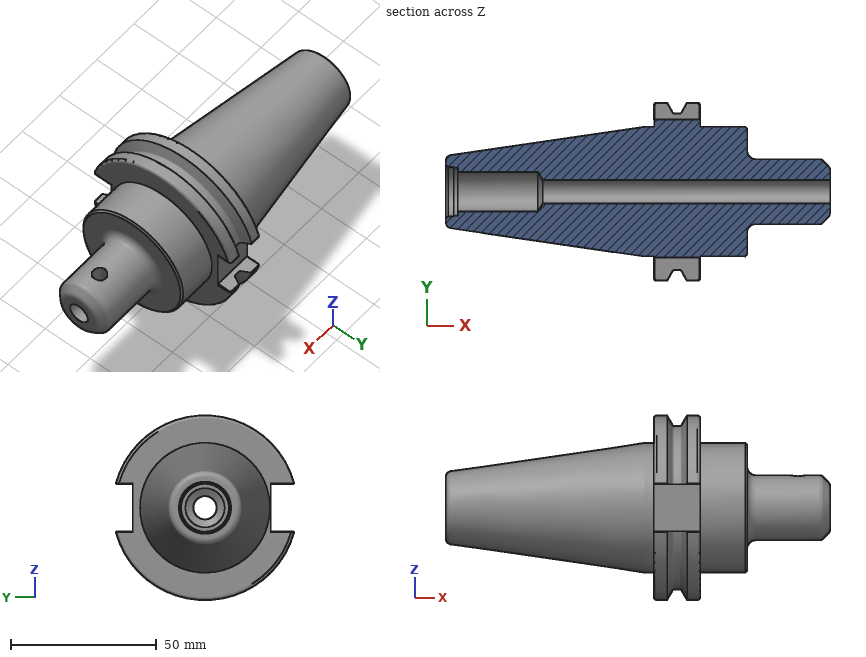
import cadquery as cq
import math

total_length = 131.8
taper_length = 68.1
flange_start = 71.3
flange_end = 87.2
body_end = 103.3

body_diameter = 44.5
body_radius = body_diameter / 2
taper_ratio = 7 / 24
taper_small_radius = body_radius - taper_length * taper_ratio / 2
taper_end_fillet = 2.1
body_chamfer = 0.7

flange_diameter = 63.4
flange_radius = flange_diameter / 2
flange_rim_fillet = 1.0
groove_centre = (flange_start + flange_end) / 2
groove_floor_radius = 28.0
groove_mouth_width = 6.9
groove_angle = 60.0
groove_wall_run = (flange_radius - groove_floor_radius) * math.tan(math.radians(groove_angle / 2))
groove_corner_fillet = 0.5

slot_width = 16.2
slot_edge_chamfer = 0.33
slot_floor_near = 22.5
slot_floor_far = 24.8

nose_diameter = 22.4
nose_radius = nose_diameter / 2
nose_root_fillet = 2.9
tip_chamfer = 3.0
tip_shoulder_fillet = 1.7
tip_face_fillet = 2.6

through_diameter = 7.9
mouth_diameter = 17.9
pilot_diameter = 16.9
mouth_chamfer_depth = 0.9
pilot_end = 2.8
relief_diameter = 16.3
relief_end = 4.2
thread_bore_diameter = 13.5
thread_bore_end = 31.6
drill_point_angle = 118.0

cross_hole_diameter = 5.4
cross_hole_x = 120.7

match_tolerance = 0.0001


def circles_at(solid, x, radius):
    """Circular edges of the solid around the X axis at the given place."""
    def matches(edge):
        if edge.geomType() != "CIRCLE":
            return False
        centre = edge.arcCenter()
        return abs(centre.x - x) < match_tolerance and abs(edge.radius() - radius) < match_tolerance
    return [edge for edge in solid.Edges() if matches(edge)]


def make_turned_body():
    mouth_half = groove_mouth_width / 2
    floor_half = mouth_half - groove_wall_run
    profile = [
        (0, 0),
        (0, taper_small_radius),
        (taper_length, body_radius),
        (flange_start, body_radius),
        (flange_start, flange_radius),
        (groove_centre - mouth_half, flange_radius),
        (groove_centre - floor_half, groove_floor_radius),
        (groove_centre + floor_half, groove_floor_radius),
        (groove_centre + mouth_half, flange_radius),
        (flange_end, flange_radius),
        (flange_end, body_radius),
        (body_end - body_chamfer, body_radius),
        (body_end, body_radius - body_chamfer),
        (body_end, nose_radius),
        (total_length - tip_chamfer, nose_radius),
        (total_length, nose_radius - tip_chamfer),
        (total_length, 0),
    ]
    solid = cq.Workplane("XY").polyline(profile).close().revolve(360, (0, 0), (1, 0)).val()
    roundings = [
        (0, taper_small_radius, taper_end_fillet),
        (flange_start, flange_radius, flange_rim_fillet),
        (groove_centre - floor_half, groove_floor_radius, groove_corner_fillet),
        (groove_centre + floor_half, groove_floor_radius, groove_corner_fillet),
        (flange_end, flange_radius, flange_rim_fillet),
        (body_end, nose_radius, nose_root_fillet),
        (total_length - tip_chamfer, nose_radius, tip_shoulder_fillet),
        (total_length, nose_radius - tip_chamfer, tip_face_fillet),
    ]
    for x, radius, fillet in roundings:
        solid = solid.fillet(fillet, circles_at(solid, x, radius))
    return cq.Workplane(solid)


def make_bore():
    through_radius = through_diameter / 2
    mouth_radius = mouth_diameter / 2
    pilot_radius = pilot_diameter / 2
    relief_radius = relief_diameter / 2
    thread_radius = thread_bore_diameter / 2
    point_depth = (thread_radius - through_radius) / math.tan(math.radians(drill_point_angle / 2))
    profile = [
        (0, 0),
        (0, mouth_radius),
        (mouth_chamfer_depth, pilot_radius),
        (pilot_end, pilot_radius),
        (pilot_end, relief_radius),
        (relief_end, relief_radius),
        (relief_end, thread_radius),
        (thread_bore_end, thread_radius),
        (thread_bore_end + point_depth, through_radius),
        (total_length, through_radius),
        (total_length, 0),
    ]
    return cq.Workplane("XY").polyline(profile).close().revolve(360, (0, 0), (1, 0))


def make_slot(side, floor_distance):
    """Cutter for one drive slot; side is +1 for +Y and -1 for -Y."""
    depth = flange_radius - floor_distance
    return (
        cq.Workplane("XY")
        .box(flange_end - flange_start, depth, slot_width)
        .translate((groove_centre, side * (floor_distance + depth / 2), 0))
    )


def chamfer_slot_edges(part):
    """Break the slot wall edges along the flange faces and the outer rim."""
    wall_edges = []
    for face in part.faces("|Z").vals():
        if abs(abs(face.Center().z) - slot_width / 2) > match_tolerance:
            continue
        for edge in face.Edges():
            centre = edge.Center()
            on_flange_face = min(centre.x - flange_start, flange_end - centre.x) < match_tolerance
            on_outer_rim = math.hypot(centre.y, centre.z) > flange_radius - match_tolerance
            if on_flange_face or on_outer_rim:
                wall_edges.append(edge)
    return part.newObject(wall_edges).chamfer(slot_edge_chamfer)


def make_cross_hole():
    return (
        cq.Workplane("XY")
        .center(cross_hole_x, 0)
        .circle(cross_hole_diameter / 2)
        .extrude(nose_radius)
    )


flanged_body = (
    make_turned_body()
    .cut(make_slot(1, slot_floor_far))
    .cut(make_slot(-1, slot_floor_near))
)
result = (
    chamfer_slot_edges(flanged_body)
    .cut(make_bore())
    .cut(make_cross_hole())
)